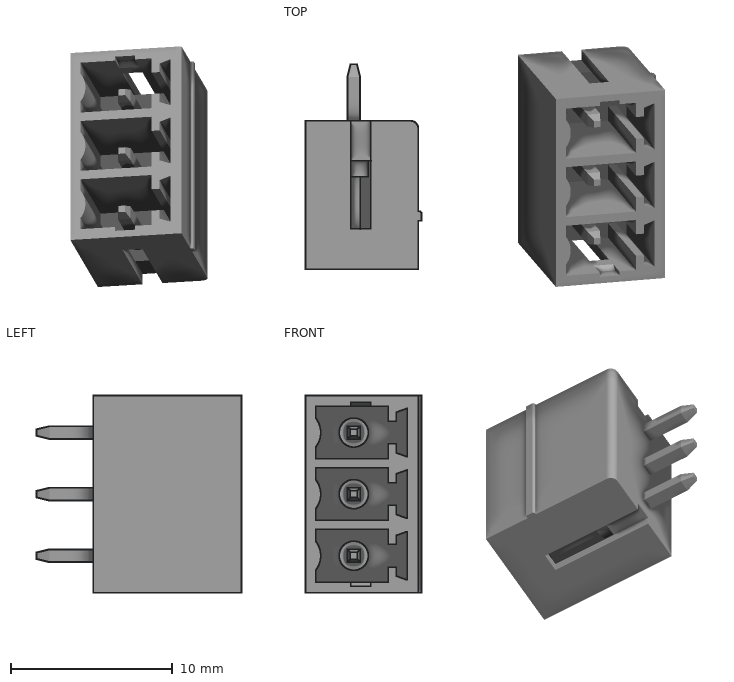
import cadquery as cq


body_width = 7.0
body_depth = 9.2
body_height = 12.22
back_corner_radius = 0.5

pin_count = 3
pitch = 3.81
pin_x = 3.0
middle_z = body_height / 2
pin_heights = [middle_z + (i - (pin_count - 1) / 2) * pitch for i in range(pin_count)]

cavity_depth = 6.7
chamber_left = 0.64
chamber_right = 5.12
chamber_half_height = 1.63
neck_right = 5.63
neck_half_height = 0.7
keyway_right = 6.3
keyway_inner_half = 1.26
keyway_outer_half = 1.5
bulge_half_height = 0.91
bulge_rise = 0.32

boss_radius = 0.9
boss_length = 0.98

pin_width = 0.8
pin_tip_width = 0.41
pin_taper = 0.8
pin_front = 1.35
pin_back = 12.7

slot_left = 2.82
slot_width = 1.25
slot_front = 2.5
slot_length = body_depth - slot_front
wall = middle_z - pitch * (pin_count - 1) / 2 - chamber_half_height
recess_rise = 0.25
recess_flat = 1.0
recess_end = 1.5

rib_front = 3.0
rib_width = 0.6
rib_rise = 0.2
rib_chamfer = 0.1


def extrude_back(outline, depth):
    """Extrude an XZ outline from its own plane towards +Y."""
    return outline.extrude(-depth)


def make_housing():
    block = cq.Workplane("XY").box(body_width, body_depth, body_height, centered=False)
    return block.edges("|Z and >X and >Y").fillet(back_corner_radius)


def make_cavity(z):
    outline = (
        cq.Workplane("XZ", origin=(0, 0, z))
        .moveTo(chamber_left, -chamber_half_height)
        .lineTo(chamber_right, -chamber_half_height)
        .lineTo(chamber_right, -neck_half_height)
        .lineTo(neck_right, -neck_half_height)
        .lineTo(neck_right, -keyway_inner_half)
        .lineTo(keyway_right, -keyway_outer_half)
        .lineTo(keyway_right, keyway_outer_half)
        .lineTo(neck_right, keyway_inner_half)
        .lineTo(neck_right, neck_half_height)
        .lineTo(chamber_right, neck_half_height)
        .lineTo(chamber_right, chamber_half_height)
        .lineTo(chamber_left, chamber_half_height)
        .lineTo(chamber_left, bulge_half_height)
        .threePointArc((chamber_left + bulge_rise, 0), (chamber_left, -bulge_half_height))
        .close()
    )
    return extrude_back(outline, cavity_depth)


def make_boss(z):
    start = cavity_depth - boss_length
    circle = cq.Workplane("XZ", origin=(pin_x, start, z)).circle(boss_radius)
    return extrude_back(circle, boss_length)


def make_taper(y, z, start_width, end_width):
    """Square frustum running towards +Y from the given start."""
    return (
        cq.Workplane("XZ", origin=(pin_x, y, z))
        .rect(start_width, start_width)
        .workplane(offset=-pin_taper)
        .rect(end_width, end_width)
        .loft()
    )


def make_pin(z):
    shank_start = pin_front + pin_taper
    shank_end = pin_back - pin_taper
    section = cq.Workplane("XZ", origin=(pin_x, shank_start, z)).rect(pin_width, pin_width)
    shank = extrude_back(section, shank_end - shank_start)
    front_tip = make_taper(pin_front, z, pin_tip_width, pin_width)
    back_tip = make_taper(shank_end, z, pin_width, pin_tip_width)
    return shank.union(front_tip).union(back_tip)


def make_bottom_slot():
    """Open-ended slot through the bottom wall, as deep as that wall is thick."""
    return cq.Workplane("XY", origin=(slot_left, slot_front, 0)).box(
        slot_width, slot_length, wall, centered=False
    )


def make_bottom_recess():
    """Shallow latch recess in the lowest cavity floor, ramping up at its inner end."""
    return (
        cq.Workplane("YZ", origin=(slot_left, 0, 0))
        .moveTo(0, wall)
        .lineTo(0, wall - recess_rise)
        .lineTo(recess_flat, wall - recess_rise)
        .lineTo(recess_end, wall)
        .close()
        .extrude(slot_width)
    )


def mirror_to_top(shape):
    return shape.mirror("XY", (0, 0, middle_z))


def make_rib():
    return (
        cq.Workplane("XY", origin=(body_width, rib_front, 0))
        .box(rib_rise, rib_width, body_height, centered=False)
        .edges("|Z and >X and >Y")
        .chamfer(rib_chamfer)
    )


result = make_housing().union(make_rib())
for height in pin_heights:
    result = result.cut(make_cavity(height))
for cutter in (make_bottom_slot(), make_bottom_recess()):
    result = result.cut(cutter).cut(mirror_to_top(cutter))
for height in pin_heights:
    result = result.union(make_boss(height)).union(make_pin(height))